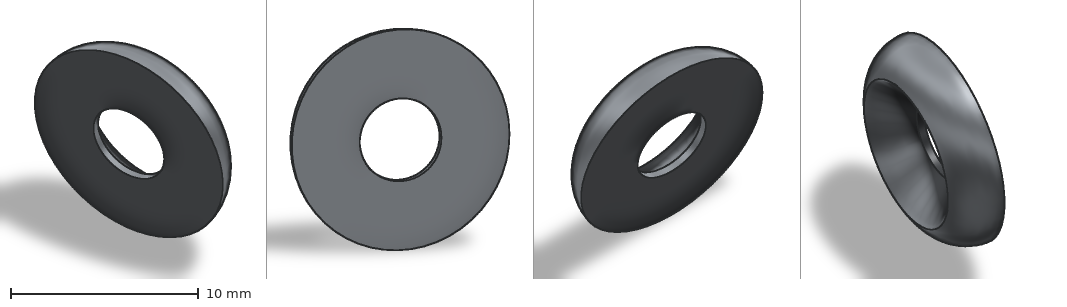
import cadquery as cq
import math

outer_radius = 6.0
thickness = 2.5
hole_diameter = 4.5
hole_radius = hole_diameter / 2
countersink_half_angle = math.radians(45.0)
round_radius = 2.68

round_center_x = outer_radius - round_radius
round_end_angle = math.asin(thickness / round_radius)


def round_point(angle):
    """Point of the rounded side, at an angle measured from the flat face."""
    return (
        round_center_x + round_radius * math.cos(angle),
        round_radius * math.sin(angle),
    )


rim_radius = round_point(round_end_angle)[0]
countersink_depth = (rim_radius - hole_radius) / math.tan(countersink_half_angle)
straight_depth = thickness - countersink_depth

section = (
    cq.Workplane("XY")
    .moveTo(hole_radius, 0)
    .lineTo(outer_radius, 0)
    .threePointArc(round_point(round_end_angle / 2), (rim_radius, thickness))
    .lineTo(hole_radius, straight_depth)
    .close()
)
result = section.revolve(360, (0, 0, 0), (0, 1, 0))